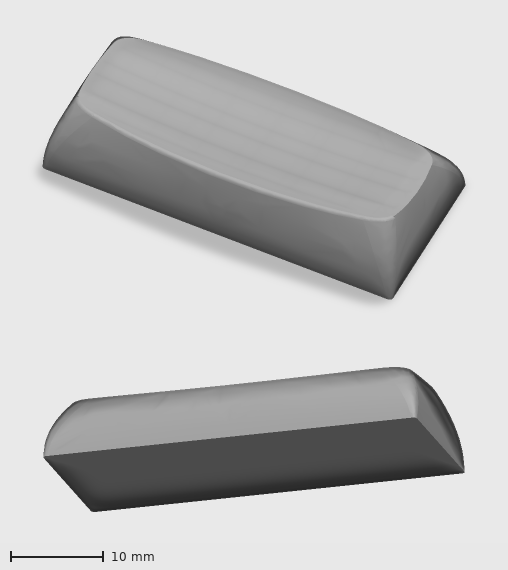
import cadquery as cq
import math

LENGTH = 42.1
WIDTH = 18.3

STOCK_HEIGHT = 8.4
STOCK_TILT = 4.6
SECTION_COUNT = 11
STRAIGHT_HEIGHT = 0.85
WALL_RADIUS = 13.7
BACK_SHIFT = 0.05
BASE_SETBACK = 0.5
SETBACK_SLOPE = 1.7
SETBACK_GROWTH = 3.35
LONG_BOW = 1.25
SHORT_BOW = 0.315

DISH_BOTTOM = 6.1
DISH_CENTER_Y = 2.95
DISH_RADIUS_X = 172.55
DISH_RADIUS_Y = 30.1
DISH_HALF_WIDTH = 18.95

RIM_RADIUS = 0.5
RIM_END_Y = -4.4


def section(level):
    """Closed outline at a fraction of the stock height: four bowed walls, four rounded corners."""
    inset = max(level * STOCK_HEIGHT - STRAIGHT_HEIGHT, 0) ** 2 / (2 * WALL_RADIUS)
    setback = BASE_SETBACK + SETBACK_SLOPE * level + SETBACK_GROWTH * level**2
    long_bow = LONG_BOW * level**2
    short_bow = SHORT_BOW * level**2

    long_x = LENGTH / 2 - setback
    long_y = WIDTH / 2 - inset - long_bow
    short_x = LENGTH / 2 - inset - short_bow
    short_y = WIDTH / 2 - setback

    long_slope = 2 * long_bow / long_x
    short_slope = 2 * short_bow / short_y
    rise = long_y - short_y
    run = short_x - long_x
    corner_x = long_x + (run - short_slope * rise) / (1 - long_slope * short_slope)
    corner_y = long_y - long_slope * (corner_x - long_x)

    wall_y = long_y + 2 * long_bow
    wall_x = short_x + 2 * short_bow
    half_outline = [
        (-long_x, -long_y), (0, -wall_y),
        (long_x, -long_y), (corner_x, -corner_y),
        (short_x, -short_y), (wall_x, 0),
        (short_x, short_y), (corner_x, corner_y),
    ]
    points = half_outline + [(-x, -y) for x, y in half_outline]

    plane = cq.Plane(origin=(0, BACK_SHIFT * level, STOCK_HEIGHT * level))
    plane = plane.rotated((-STOCK_TILT * level, 0, 0))
    outline = cq.Workplane(plane).moveTo(*points[0])
    closed_points = points + points[:1]
    for start in range(0, len(points), 2):
        outline = outline.bezier(closed_points[start:start + 3])
    return outline.wire().val()


def wall_stock():
    levels = [i / (SECTION_COUNT - 1) for i in range(SECTION_COUNT)]
    return cq.Workplane(cq.Solid.makeLoft([section(level) for level in levels]))


def dish_cutter():
    """Ring whose outer surface is the dish, turned about an axis along Y high above the part."""
    rim_z = DISH_RADIUS_Y - math.sqrt(DISH_RADIUS_Y**2 - DISH_HALF_WIDTH**2)
    return (
        cq.Workplane("YZ", origin=(0, DISH_CENTER_Y, DISH_BOTTOM))
        .moveTo(-DISH_HALF_WIDTH, rim_z)
        .threePointArc((0, 0), (DISH_HALF_WIDTH, rim_z))
        .close()
        .revolve(360, (0, DISH_RADIUS_X), (1, DISH_RADIUS_X))
    )


def round_front_rim(body):
    """Round the rim of the top face, keeping the rounding on the front portion only."""
    dish_point = (0, DISH_CENTER_Y, DISH_BOTTOM)
    dish_face = body.faces(cq.selectors.NearestToPointSelector(dish_point))
    rounded = dish_face.edges().fillet(RIM_RADIUS)
    front = cq.Workplane().box(2 * LENGTH, WIDTH, 4 * STOCK_HEIGHT)
    front = front.translate((0, RIM_END_Y - WIDTH / 2, 0))
    return body.cut(front).union(rounded.intersect(front))


dished = wall_stock().cut(dish_cutter())
result = round_front_rim(dished)